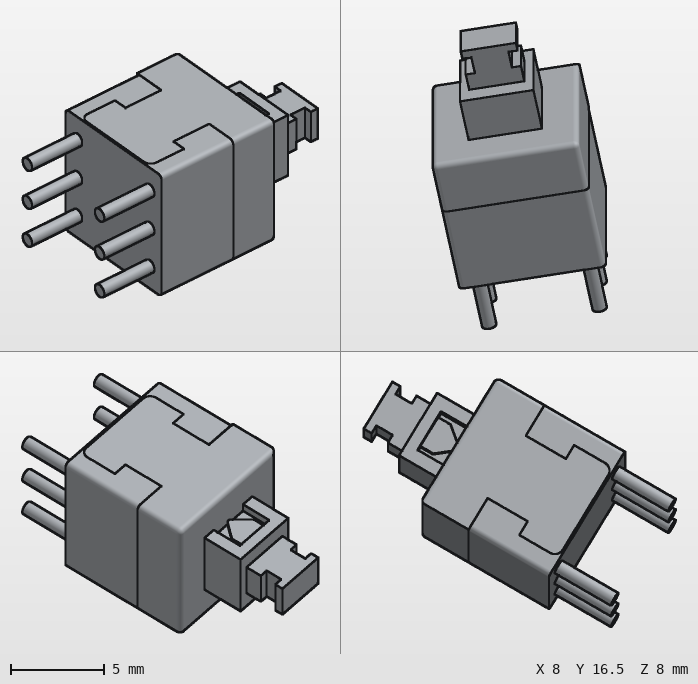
import cadquery as cq


overall_length = 16.5
case_size = 8.0
edge_radius = 0.3

pin_diameter = 0.8
pin_length = 3.5
pin_column_spacing = 6.0
pin_row_spacing = 2.5

cover_block_length = 3.0
tongue_thickness = 0.3
tongue_neck_width = 4.0
tongue_neck_length = 2.49
tongue_head_width = 5.75
tongue_rear_gap = 0.1
tongue_corner_radius = 0.5
base_length = case_size - cover_block_length

collar_size = 4.0
collar_length = 2.5
stem_width = 3.0
stem_height = 2.0
stem_groove_depth = 0.5
stem_groove_length = 1.0
stem_tip_length = 0.5
stem_length = overall_length - pin_length - case_size - collar_length

pocket_width = 2.46
pocket_front_wall = 0.7
pocket_depth = 0.5
cam_width = 1.85
cam_height = 0.25
cam_straight_length = 0.8
cam_tip_width = 0.16

collar_start = case_size
stem_start = collar_start + collar_length
stem_end = stem_start + stem_length


def block(width, height, start, length):
    """Box centred on the Y axis, running from start towards +Y."""
    return cq.Workplane("XY").box(width, length, height, centered=(True, False, True)).translate((0, start, 0))


def top_plane(height, depth):
    """Horizontal work plane a given depth below a top face of a centred box."""
    return cq.Workplane("XY").workplane(offset=height / 2 - depth)


def make_tongue():
    """T-shaped tongue, flush with the top of the case."""
    half_neck = tongue_neck_width / 2
    half_head = tongue_head_width / 2
    head_front = base_length - tongue_neck_length
    return (
        top_plane(case_size, tongue_thickness)
        .moveTo(half_neck, base_length)
        .lineTo(half_neck, head_front)
        .lineTo(half_head, head_front)
        .lineTo(half_head, tongue_rear_gap)
        .lineTo(-half_head, tongue_rear_gap)
        .lineTo(-half_head, head_front)
        .lineTo(-half_neck, head_front)
        .lineTo(-half_neck, base_length)
        .close()
        .extrude(tongue_thickness)
        .edges("|Z and <Y")
        .fillet(tongue_corner_radius)
    )


def make_base():
    """Rear block with rounded long edges and a recess for the tongue."""
    body = block(case_size, case_size, 0, base_length).edges("|Y").fillet(edge_radius)
    return body.cut(make_tongue())


def make_cover():
    """Front block; its long edge at -X, +Z stays sharp."""
    body = block(case_size, case_size, base_length, cover_block_length)
    sharp_edge = cq.selectors.NearestToPointSelector(
        (-case_size / 2, base_length + cover_block_length / 2, case_size / 2)
    )
    rounded_edges = cq.selectors.StringSyntaxSelector("|Y") - sharp_edge
    body = body.edges(rounded_edges).fillet(edge_radius)
    body = body.faces(">Y").edges().fillet(edge_radius)
    return body.union(make_tongue())


def make_cam_pocket():
    """Cutter for the pocket, without the cam left standing in it."""
    pocket_end = stem_start - pocket_front_wall
    cam_shoulder = pocket_end - cam_straight_length
    pocket_floor = top_plane(collar_size, pocket_depth)
    recess = (
        pocket_floor.center(0, (collar_start + pocket_end) / 2)
        .rect(pocket_width, pocket_end - collar_start)
        .extrude(pocket_depth)
    )
    cam = (
        pocket_floor.moveTo(-cam_width / 2, pocket_end)
        .lineTo(cam_width / 2, pocket_end)
        .lineTo(cam_width / 2, cam_shoulder)
        .lineTo(cam_tip_width / 2, collar_start)
        .lineTo(-cam_tip_width / 2, collar_start)
        .lineTo(-cam_width / 2, cam_shoulder)
        .close()
        .extrude(cam_height)
    )
    return recess.cut(cam)


def make_plunger():
    """Collar with its cam pocket, and a stem with a groove in each side."""
    collar = block(collar_size, collar_size, collar_start, collar_length).cut(make_cam_pocket())
    stem = block(stem_width, stem_height, stem_start, stem_length)
    groove_start = stem_end - stem_tip_length - stem_groove_length
    groove_ring = block(stem_width, stem_height, groove_start, stem_groove_length)
    groove_core = block(stem_width - 2 * stem_groove_depth, stem_height, groove_start, stem_groove_length)
    return collar.union(stem.cut(groove_ring.cut(groove_core)))


def make_pin(x, z):
    """Round pin standing on the rear face of the base."""
    return cq.Workplane("XZ").center(x, z).circle(pin_diameter / 2).extrude(pin_length)


base = make_base()
cover = make_cover()
plunger = make_plunger()
pins = []
for column in (-0.5, 0.5):
    for row in (-1, 0, 1):
        pins.append(make_pin(column * pin_column_spacing, row * pin_row_spacing).val())

result = cq.Compound.makeCompound([base.val(), cover.val(), plunger.val(), *pins])